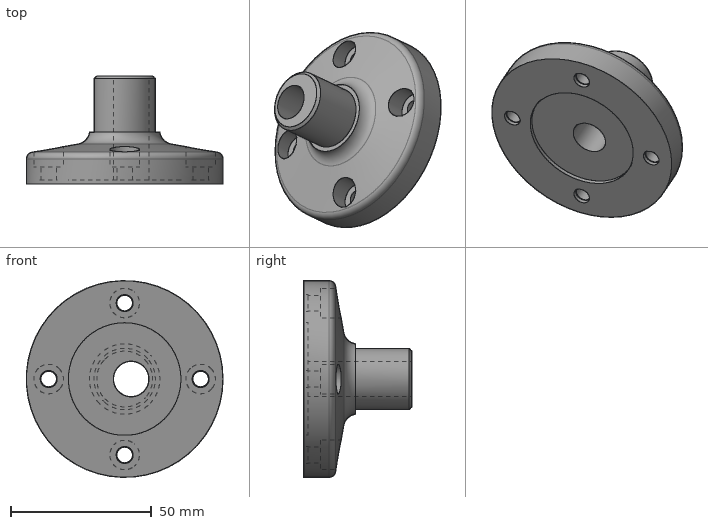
import cadquery as cq
import math

flange_radius = 35.0
rim_height = 9.0
rim_round = 2.4
cone_angle = math.radians(10.0)

neck_fillet = 5.0
neck_base_radius = 16.6
shoulder_height = 18.5

total_height = 38.5
stem_radius = 10.9
stem_chamfer = 1.0

bore_diameter = 12.5
bore_offset = 2.3
recess_diameter = 40.05
recess_depth = 1.5

bolt_count = 4
bolt_circle_radius = 27.0
bolt_diameter = 5.5
mouth_diameter = 6.0
mouth_depth = 1.5
head_diameter = 10.5
head_floor = 6.0


def point_on_arc(center, radius, angle):
    return (center[0] + radius * math.cos(angle), center[1] + radius * math.sin(angle))


def make_body():
    """Revolve the outer half section, drawn as (radius, height), about the Y axis."""
    cone_normal = math.pi / 2 - cone_angle
    rim_center = (flange_radius - rim_round, rim_height)
    cone_outer = point_on_arc(rim_center, rim_round, cone_normal)
    rim_middle = point_on_arc(rim_center, rim_round, cone_normal / 2)

    cone_rise = (cone_outer[0] - neck_base_radius) * math.tan(cone_angle)
    cone_inner = (neck_base_radius, cone_outer[1] + cone_rise)
    neck_center = point_on_arc(cone_inner, neck_fillet, cone_normal)
    neck_start = math.pi + cone_normal
    neck_end = math.pi - math.asin((shoulder_height - neck_center[1]) / neck_fillet)
    neck_middle = point_on_arc(neck_center, neck_fillet, (neck_start + neck_end) / 2)
    neck_top = point_on_arc(neck_center, neck_fillet, neck_end)

    return (
        cq.Workplane("XY")
        .lineTo(flange_radius, 0)
        .lineTo(flange_radius, rim_height)
        .threePointArc(rim_middle, cone_outer)
        .lineTo(*cone_inner)
        .threePointArc(neck_middle, neck_top)
        .lineTo(stem_radius, shoulder_height)
        .lineTo(stem_radius, total_height - stem_chamfer)
        .lineTo(stem_radius - stem_chamfer, total_height)
        .lineTo(0, total_height)
        .close()
        .revolve(360, (0, 0, 0), (0, 1, 0))
    )


def cylinder(diameter, start, end, x=0.0, z=0.0):
    """Cylinder along Y between two heights."""
    axis = cq.Vector(0, 1, 0)
    return cq.Workplane(cq.Solid.makeCylinder(diameter / 2, end - start, cq.Vector(x, start, z), axis))


def bolt_hole(angle):
    x, z = point_on_arc((0, 0), bolt_circle_radius, angle)
    shank = cylinder(bolt_diameter, 0, total_height, x, z)
    mouth = cylinder(mouth_diameter, 0, mouth_depth, x, z)
    head = cylinder(head_diameter, head_floor, total_height, x, z)
    return shank.union(mouth).union(head)


result = make_body()
result = result.cut(cylinder(recess_diameter, 0, recess_depth))
result = result.cut(cylinder(bore_diameter, 0, total_height, x=bore_offset))
for index in range(bolt_count):
    result = result.cut(bolt_hole(index * 2 * math.pi / bolt_count))